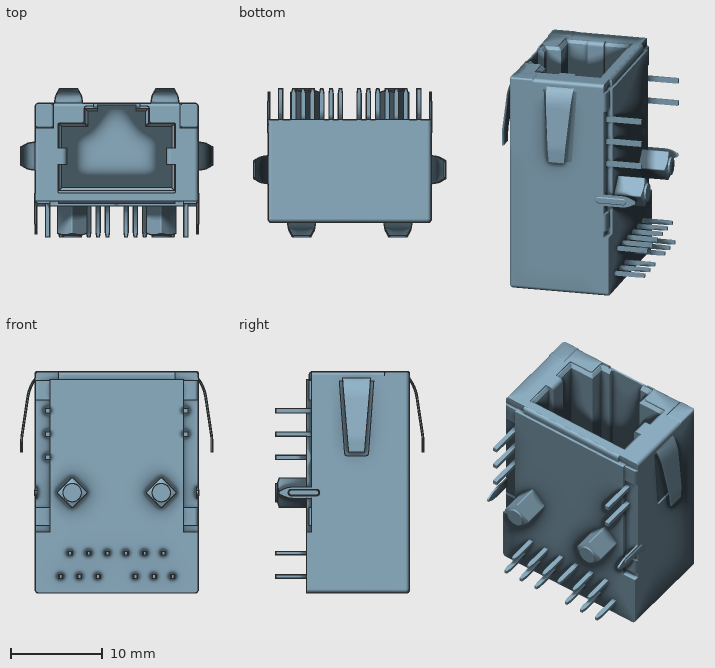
import cadquery as cq
import math


body_width = 17.78
body_depth = 11.23
body_height = 24.13
edge_radius = 0.4
half_width = body_width / 2
sheet = 0.2
overlap = 0.1

recess_depth = 0.57
recess_bottom = 6.69
board_half_width = 7.28
board_top = 23.25
lip_y = 0.29
lip_half_width = 6.37
fold_radius = 0.4
fold_tab_ranges = [(7.38, 9.33), (21.05, 23.15)]

cavity_depth = 14.0
mouth_chamfer = 0.3
mouth_half_width = 6.3
mouth_bottom = 1.72
mouth_shoulder = 9.0
latch_half_width = 3.45
latch_top = 10.65
key_half_width = 2.07
key_top = body_depth - sheet
cutout_half_width = 6.42
cutout_bottom = 1.42
cutout_shoulder = 9.08
cutout_latch_half_width = 3.54
cutout_top = 10.9
cutout_corner_radius = 0.25
notch_half_width = 2.55
notch_depth = edge_radius
rib_y_range = (4.55, 6.33)
rib_half_gap = 5.43
rib_round = 0.48

light_width = 2.0
light_depth = 2.7
light_pocket_depth = edge_radius
light_edge_radius = 0.2

spring_reach = 1.575
spring_root_half_width = 1.54
spring_tip_half_width = 0.86
spring_root_drop = 0.65
spring_bend_end = (0.90, 2.77)
spring_kink_length = 0.4
spring_kink_drop = 7.25
spring_tip_drop = 8.78
window_top_drop = 1.02
window_bottom_drop = 9.18
window_top_half_width = 1.88
window_bottom_half_width = 1.29
window_corner_radius = 0.35
side_spring_y = 5.46
back_spring_x = 5.25

pin_reach = 3.365
pin_pitch = 2.032
pin_width = 0.5
pin_thickness = 0.4
pin_tip_length = 0.55
pin_tip_width = 0.3
row_spacing = 2.54
lower_row_z = 1.82
upper_row_z = lower_row_z + row_spacing
lower_row_steps = [-3, -2, -1, 1, 2, 3]
upper_row_steps = [-2.5, -1.5, -0.5, 0.5, 1.5, 2.5]
light_pin_size = 0.5
light_pin_top_z = 19.87
left_light_pins = 3
right_light_pins = 2

peg_x = 4.85
peg_z = 10.95
peg_half_diagonal = 1.68
peg_corner_radius = 0.15
peg_end_radius = 1.0
peg_shoulder = 2.94
peg_neck = 3.16

tongue_width = 1.23
tongue_reach = 3.0
tongue_straight = 1.5
tongue_tip_width = 0.5
tongue_bulge = 0.05
bead_length = 3.44
bead_width = 0.72
bead_center_y = -0.28
bead_height = 0.09


def block(x_range, y_range, z_range):
    """Box between the given limits."""
    size = [high - low for low, high in (x_range, y_range, z_range)]
    corner = (x_range[0], y_range[0], z_range[0])
    return cq.Workplane("XY").box(*size, centered=False).translate(corner)


def mirrored(shape):
    """The shape together with its mirror image across X = 0."""
    return shape.union(shape.mirror("YZ"))


def make_shell():
    shell = block((-half_width, half_width), (0, body_depth), (0, body_height))
    shell = shell.edges("|Z and >Y").fillet(edge_radius)
    shell = shell.edges("(>Z or <Z) and (not <Y)").fillet(edge_radius)
    side_recess = block(
        (board_half_width, half_width + overlap), (-overlap, recess_depth), (recess_bottom, body_height)
    )
    top_recess = block(
        (-half_width, half_width), (-overlap, recess_depth), (board_top, body_height + overlap)
    )
    return shell.cut(mirrored(side_recess)).cut(top_recess)


def make_folds():
    """Shield tabs folded over the front: one top lip and two tabs on each side."""
    lip = block(
        (-lip_half_width, lip_half_width),
        (lip_y, recess_depth + fold_radius),
        (board_top - overlap, body_height),
    )
    folds = lip.edges("<Y and >Z").fillet(fold_radius)
    for z_range in fold_tab_ranges:
        tab = block((board_half_width, half_width), (lip_y, recess_depth + fold_radius), z_range)
        folds = folds.union(mirrored(tab.edges("<Y and >X").fillet(fold_radius)))
    return folds


def tee_outline(start_z, wide, narrow, bottom, shoulder, top):
    """T-shaped outline, wide below the shoulder and narrow above it."""
    points = [
        (-wide, bottom),
        (wide, bottom),
        (wide, shoulder),
        (narrow, shoulder),
        (narrow, top),
        (-narrow, top),
        (-narrow, shoulder),
        (-wide, shoulder),
    ]
    return cq.Workplane("XY").workplane(offset=start_z).polyline(points).close()


def plastic_outline(inset):
    """Outline of the plastic opening just below the sheet, shrunk evenly by the inset."""
    return tee_outline(
        body_height - sheet,
        mouth_half_width - inset,
        latch_half_width - inset,
        mouth_bottom + inset,
        mouth_shoulder - inset,
        latch_top - inset,
    )


def make_side_rib():
    """Guide rib on the cavity side wall, rounded at its entry."""
    rib = block(
        (rib_half_gap, cutout_half_width), rib_y_range, (body_height - cavity_depth, body_height)
    )
    return rib.edges("<X and >Z").fillet(rib_round)


def make_opening():
    above = body_height + overlap
    floor = body_height - cavity_depth
    cutout = tee_outline(
        body_height - sheet,
        cutout_half_width,
        cutout_latch_half_width,
        cutout_bottom,
        cutout_shoulder,
        cutout_top,
    )
    opening = cutout.extrude(sheet + overlap).edges("|Z").fillet(cutout_corner_radius)
    opening = opening.union(plastic_outline(mouth_chamfer).extrude(sheet - cavity_depth))
    opening = opening.union(plastic_outline(0).extrude(-mouth_chamfer, taper=45))
    key = block((-key_half_width, key_half_width), (mouth_shoulder, key_top), (floor, above))
    notch = block(
        (-notch_half_width, notch_half_width),
        (cutout_top - overlap, body_depth + overlap),
        (body_height - notch_depth, above),
    )
    return opening.union(key).union(notch).cut(mirrored(make_side_rib()))


def make_light(height):
    """Block filling a back top corner from the pocket floor up to the given height."""
    light = block(
        (half_width - light_width, half_width),
        (body_depth - light_depth, body_depth),
        (body_height - light_pocket_depth, height),
    )
    return light.edges("|Z and >X and >Y").fillet(edge_radius)


def spring_face(shift):
    """Root, bend end, and start and end of the rounded kink, moved sideways by the shift."""
    bend_reach, bend_drop = spring_bend_end
    lean = math.atan2(spring_reach - bend_reach, spring_kink_drop - bend_drop)
    kink_reach = spring_reach - spring_kink_length * math.sin(lean)
    kink_drop = spring_kink_drop - spring_kink_length * math.cos(lean)
    points = [
        (-overlap, spring_root_drop - overlap),
        (bend_reach, bend_drop),
        (kink_reach, kink_drop),
        (spring_reach, spring_kink_drop + spring_kink_length),
    ]
    return [(reach + shift, body_height - drop) for reach, drop in points]


def spring_side(shift):
    """Solid between the wall side and one face of the finger."""
    root, bend, kink_start, kink_end = spring_face(shift)
    tip_z = body_height - spring_tip_drop
    return (
        cq.Workplane("XZ")
        .moveTo(kink_end[0], tip_z)
        .lineTo(*kink_end)
        .tangentArcPoint(kink_start, relative=False)
        .lineTo(*bend)
        .tangentArcPoint(root, relative=False)
        .lineTo(root[0], tip_z)
        .close()
        .extrude(spring_root_half_width, both=True)
    )


def make_spring():
    """Finger leaving a wall at local x = 0 toward +x, centred on y = 0."""
    tip_z = body_height - spring_tip_drop
    strip = spring_side(0).cut(spring_side(-sheet))
    taper = trapezoid(
        spring_root_half_width,
        spring_tip_half_width,
        body_height - spring_root_drop,
        tip_z,
        -overlap,
        spring_reach,
    )
    return strip.intersect(taper)


def trapezoid(top_half_width, bottom_half_width, top_z, bottom_z, x_start, x_end):
    """Plate in the YZ plane with sloping sides, thick from x_start to x_end."""
    points = [
        (-top_half_width, top_z),
        (top_half_width, top_z),
        (bottom_half_width, bottom_z),
        (-bottom_half_width, bottom_z),
    ]
    plane = cq.Workplane("YZ").workplane(offset=x_start)
    return plane.polyline(points).close().extrude(x_end - x_start)


def make_window():
    """Shallow window behind a spring, as deep as the shield sheet."""
    window = trapezoid(
        window_top_half_width,
        window_bottom_half_width,
        body_height - window_top_drop,
        body_height - window_bottom_drop,
        -sheet,
        overlap,
    )
    return window.edges("|X and <Z").fillet(window_corner_radius)


def at_spring_places(shape):
    """Copies of a local shape on both side walls and twice on the back wall."""
    side = shape.translate((half_width, side_spring_y, 0))
    back = shape.rotate((0, 0, 0), (0, 0, 1), 90).translate((back_spring_x, body_depth, 0))
    return mirrored(side.union(back))


def make_signal_pin(x, z):
    half = pin_width / 2
    half_tip = pin_tip_width / 2
    taper_y = -pin_reach + pin_tip_length
    points = [
        (x - half, overlap),
        (x - half, taper_y),
        (x - half_tip, -pin_reach),
        (x + half_tip, -pin_reach),
        (x + half, taper_y),
        (x + half, overlap),
    ]
    plane = cq.Workplane("XY").workplane(offset=z - pin_thickness / 2)
    return plane.polyline(points).close().extrude(pin_thickness)


def make_light_pin(side, index):
    """Square pin at the inner wall of a side recess; side is -1 or +1."""
    center_x = side * (board_half_width + light_pin_size / 2)
    center_z = light_pin_top_z - index * row_spacing
    half = light_pin_size / 2
    return block(
        (center_x - half, center_x + half),
        (-pin_reach, recess_depth + overlap),
        (center_z - half, center_z + half),
    )


def make_peg():
    """Diamond-section locating peg turned down to a round end."""
    diamond = (
        cq.Workplane("XZ", origin=(peg_x, overlap, peg_z))
        .polygon(4, 2 * peg_half_diagonal)
        .extrude(pin_reach + overlap)
        .edges("|Y")
        .fillet(peg_corner_radius)
    )
    turned = (
        cq.Workplane("XY")
        .moveTo(0, overlap)
        .lineTo(peg_half_diagonal, overlap)
        .lineTo(peg_half_diagonal, -peg_shoulder)
        .lineTo(peg_end_radius, -peg_neck)
        .lineTo(peg_end_radius, -pin_reach)
        .lineTo(0, -pin_reach)
        .close()
        .revolve(360, (0, 0, 0), (0, 1, 0))
        .translate((peg_x, 0, peg_z))
    )
    return diamond.intersect(turned)


def make_tongue():
    """Ground tongue on the side wall, stiffened by a raised bead."""
    half = tongue_width / 2
    half_tip = tongue_tip_width / 2
    back_y = recess_depth + overlap
    bulge = (-(tongue_straight + tongue_reach) / 2, (half + half_tip) / 2 + tongue_bulge)
    tongue = (
        cq.Workplane("YZ", origin=(half_width - sheet, 0, peg_z))
        .moveTo(back_y, -half)
        .lineTo(-tongue_straight, -half)
        .threePointArc((bulge[0], -bulge[1]), (-tongue_reach + half_tip, -half_tip))
        .threePointArc((-tongue_reach, 0), (-tongue_reach + half_tip, half_tip))
        .threePointArc(bulge, (-tongue_straight, half))
        .lineTo(back_y, half)
        .close()
        .extrude(sheet)
    )
    bead = (
        cq.Workplane("YZ", origin=(half_width - overlap, bead_center_y, peg_z))
        .slot2D(bead_length, bead_width)
        .extrude(overlap + bead_height)
        .faces(">X")
        .chamfer(bead_height)
    )
    return tongue.union(bead)


result = make_shell().union(make_folds()).cut(make_opening())
result = result.cut(mirrored(make_light(body_height + overlap)))
rounded_light = make_light(body_height).faces(">Z").edges().fillet(light_edge_radius)
result = result.union(mirrored(rounded_light))
result = result.cut(at_spring_places(make_window())).union(at_spring_places(make_spring()))
result = result.union(mirrored(make_peg())).union(mirrored(make_tongue()))
for steps, row_z in ((lower_row_steps, lower_row_z), (upper_row_steps, upper_row_z)):
    for step in steps:
        result = result.union(make_signal_pin(step * pin_pitch, row_z))
for side, count in ((-1, left_light_pins), (1, right_light_pins)):
    for index in range(count):
        result = result.union(make_light_pin(side, index))